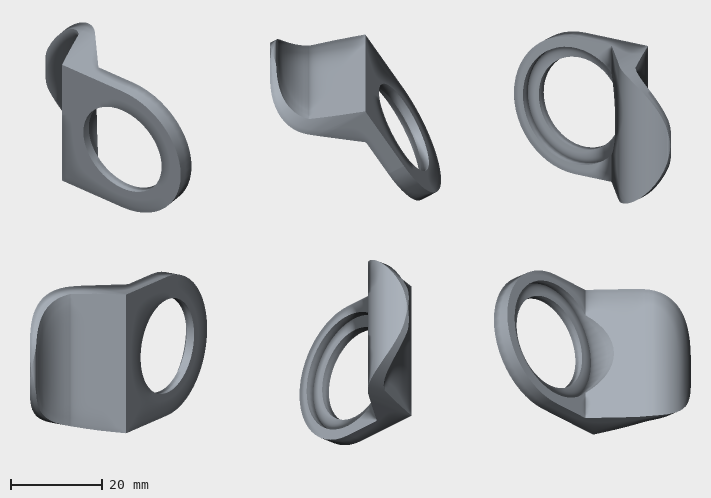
import cadquery as cq
import math

length = 47.6
end_radius = length / 3
hole_radius = 10.65
recess_radius = 13.52
plate_thickness = 4.0
recess_floor_y = plate_thickness / 2
total_depth = 17.5

front_bend_x = 15.3
back_bend_x = 22.25

outer_radius = 9.75
outer_center_x = 6.45
outer_end_x = 0.52
inner_radius = 8.2
inner_center_x = 4.55
inner_top_y = 15.0
inner_start_x = 1.0
inner_end_x = 11.05
tip_y = 14.75

outer_center_y = total_depth - outer_radius
inner_center_y = inner_top_y - inner_radius


def upper_arc_point(center_x, center_y, radius, x):
    """Point at a given x on the upper half of a circle."""
    return (x, center_y + math.sqrt(radius**2 - (x - center_x) ** 2))


def outer_tangent_point():
    """Point where the line from the back bend touches the outer arc."""
    dx = back_bend_x - outer_center_x
    dy = plate_thickness - outer_center_y
    angle = math.atan2(dy, dx) + math.acos(outer_radius / math.hypot(dx, dy))
    return (
        outer_center_x + outer_radius * math.cos(angle),
        outer_center_y + outer_radius * math.sin(angle),
    )


def make_profile():
    """Plate, web and lip section, extruded over the full height."""
    outer_end = upper_arc_point(outer_center_x, outer_center_y, outer_radius, outer_end_x)
    inner_start = upper_arc_point(inner_center_x, inner_center_y, inner_radius, inner_start_x)
    inner_end = upper_arc_point(inner_center_x, inner_center_y, inner_radius, inner_end_x)
    return (
        cq.Workplane("XY")
        .moveTo(front_bend_x, 0)
        .lineTo(length, 0)
        .lineTo(length, plate_thickness)
        .lineTo(back_bend_x, plate_thickness)
        .lineTo(*outer_tangent_point())
        .threePointArc((outer_center_x, total_depth), outer_end)
        .threePointArc((0, tip_y), inner_start)
        .threePointArc((inner_center_x, inner_top_y), inner_end)
        .close()
        .extrude(end_radius, both=True)
    )


def make_outline():
    """Rounded-end outline extruded through the depth."""
    return (
        cq.Workplane("XZ")
        .center(length / 2, 0)
        .slot2D(length, 2 * end_radius)
        .extrude(-total_depth)
    )


def make_bore(radius, start_y):
    """Cylinder on the ring axis, from start_y out past the back of the part."""
    return (
        cq.Workplane("XZ", origin=(length - end_radius, start_y, 0))
        .circle(radius)
        .extrude(-total_depth)
    )


hole = make_bore(hole_radius, 0)
recess = make_bore(recess_radius, recess_floor_y)

result = make_profile().intersect(make_outline()).cut(hole).cut(recess)